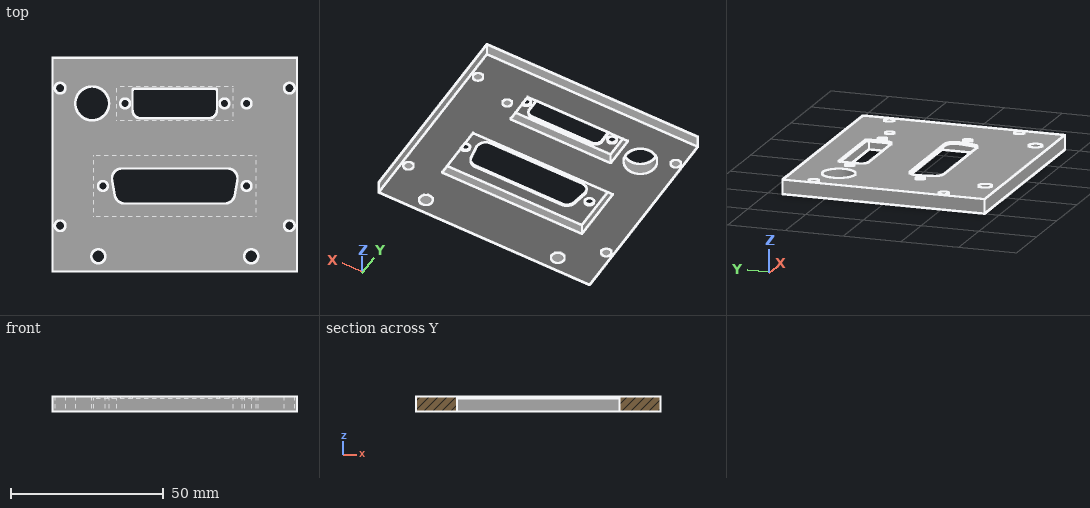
import cadquery as cq
import math

PLATE_LENGTH = 80.0
PLATE_WIDTH = 70.0
PLATE_THICKNESS = 5.0

WEB_THICKNESS = 0.65
RECESS_DEPTH = PLATE_THICKNESS - WEB_THICKNESS

SMALL_CENTER_Y = 20.0
SMALL_CUTOUT_LENGTH = 27.5
SMALL_CUTOUT_WIDTH = 9.6
SMALL_REAR_RADIUS = 0.5
SMALL_FRONT_RADIUS = 2.5
SMALL_SCREW_SPACING = 32.5
SMALL_RECESS_LENGTH = 38.0
SMALL_RECESS_WIDTH = 11.2

LARGE_CENTER_Y = -7.0
LARGE_MID_LENGTH = 40.25
LARGE_CUTOUT_WIDTH = 11.4
LARGE_SIDE_ANGLE = 10.0
LARGE_CORNER_RADIUS = 3.25
LARGE_SCREW_SPACING = 47.0
LARGE_RECESS_LENGTH = 53.0
LARGE_RECESS_WIDTH = 20.0

CONNECTOR_SCREW_DIAMETER = 3.1
EDGE_HOLE_DIAMETER = 3.4
EDGE_HOLE_X = 37.5
EDGE_HOLE_YS = (25.0, -20.0)
FRONT_HOLE_DIAMETER = 4.5
FRONT_HOLE_X = 25.0
FRONT_HOLE_Y = -30.0
ROUND_OPENING_DIAMETER = 11.0
ROUND_OPENING_X = -27.0
SIDE_HOLE_DIAMETER = 3.1
SIDE_HOLE_X = LARGE_SCREW_SPACING / 2


def mirrored_pair(x, y):
    """Two points mirrored about the YZ plane."""
    return [(-x, y), (x, y)]


def through_holes(diameter, points):
    """Cylinders running through the whole plate thickness."""
    return cq.Workplane("XY").pushPoints(points).circle(diameter / 2).extrude(PLATE_THICKNESS)


def recess(length, width, center_y):
    """Rectangular pocket open to the underside of the plate."""
    return cq.Workplane("XY").center(0, center_y).rect(length, width).extrude(RECESS_DEPTH)


def small_cutout():
    """Opening for the small connector."""
    block = (
        cq.Workplane("XY")
        .center(0, SMALL_CENTER_Y)
        .rect(SMALL_CUTOUT_LENGTH, SMALL_CUTOUT_WIDTH)
        .extrude(PLATE_THICKNESS)
    )
    block = block.edges("|Z and >Y").fillet(SMALL_REAR_RADIUS)
    return block.edges("|Z and <Y").fillet(SMALL_FRONT_RADIUS)


def large_cutout():
    """Opening for the large connector, its sides tapering toward the front."""
    half_width = LARGE_CUTOUT_WIDTH / 2
    taper = half_width * math.tan(math.radians(LARGE_SIDE_ANGLE))
    rear_x = LARGE_MID_LENGTH / 2 + taper
    front_x = LARGE_MID_LENGTH / 2 - taper
    outline = [
        (-rear_x, half_width),
        (rear_x, half_width),
        (front_x, -half_width),
        (-front_x, -half_width),
    ]
    block = cq.Workplane("XY").center(0, LARGE_CENTER_Y).polyline(outline).close().extrude(PLATE_THICKNESS)
    return block.edges("|Z").fillet(LARGE_CORNER_RADIUS)


plate = cq.Workplane("XY").box(PLATE_LENGTH, PLATE_WIDTH, PLATE_THICKNESS, centered=(True, True, False))

plate = plate.cut(recess(SMALL_RECESS_LENGTH, SMALL_RECESS_WIDTH, SMALL_CENTER_Y))
plate = plate.cut(recess(LARGE_RECESS_LENGTH, LARGE_RECESS_WIDTH, LARGE_CENTER_Y))
plate = plate.cut(small_cutout())
plate = plate.cut(large_cutout())
connector_screws = mirrored_pair(SMALL_SCREW_SPACING / 2, SMALL_CENTER_Y)
connector_screws += mirrored_pair(LARGE_SCREW_SPACING / 2, LARGE_CENTER_Y)
plate = plate.cut(through_holes(CONNECTOR_SCREW_DIAMETER, connector_screws))

for edge_hole_y in EDGE_HOLE_YS:
    plate = plate.cut(through_holes(EDGE_HOLE_DIAMETER, mirrored_pair(EDGE_HOLE_X, edge_hole_y)))
plate = plate.cut(through_holes(FRONT_HOLE_DIAMETER, mirrored_pair(FRONT_HOLE_X, FRONT_HOLE_Y)))

plate = plate.cut(through_holes(ROUND_OPENING_DIAMETER, [(ROUND_OPENING_X, SMALL_CENTER_Y)]))
plate = plate.cut(through_holes(SIDE_HOLE_DIAMETER, [(SIDE_HOLE_X, SMALL_CENTER_Y)]))

result = plate